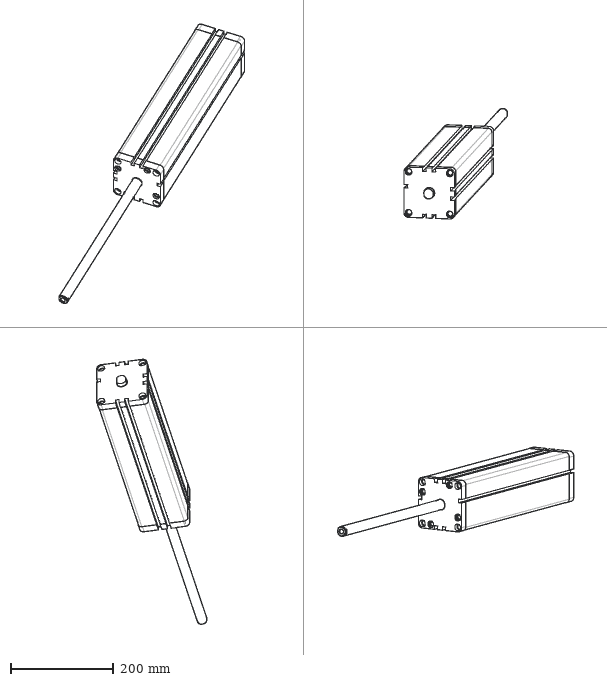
import cadquery as cq
import math

total_length = 772.0
rear_stub_length = 8.0
front_rod_length = 357.5
rod_tip_y = -total_length
body_rear_y = -rear_stub_length
body_front_y = rod_tip_y + front_rod_length
body_length = body_rear_y - body_front_y

width = 100.0
cap_length = 16.0
cap_corner_radius = 9.0
barrel_inset = 1.0
barrel_width = width - 2 * barrel_inset
barrel_length = body_length - 2 * cap_length
barrel_corner_radius = 7.0

groove_width = 7.0
groove_depth = 7.3
groove_offset = 9.0
single_groove_offset = 11.5

bolt_spacing = 82.0
bolt_diameter = 9.0
bolt_head_diameter = 13.0
bolt_head_depth = 8.0

screw_offset = 22.0
screw_edge_offset = bolt_spacing / 2
screw_pocket_diameter = 13.0
screw_pocket_depth = 4.0
screw_bore_diameter = 8.5
screw_bore_depth = 8.0

rod_diameter = 20.0
rod_seal_diameter = 22.0
rod_seal_depth = 2.0
rod_tip_chamfer = 1.5
flat_spacing = 18.0
flat_length = 5.5
thread_diameter = 8.5
thread_chamfer = 1.0
thread_depth = 19.0
drill_point_angle = 118.0


def square_bar(side, front_y, length, corner_radius):
    """Rounded square bar running toward +Y from front_y."""
    bar = cq.Workplane("XZ", origin=(0, front_y, 0)).rect(side, side).extrude(-length)
    return bar.edges("|Y").fillet(corner_radius)


def cylinder(diameter, front_y, length, x=0, z=0):
    """Cylinder running toward +Y from front_y."""
    return cq.Workplane("XZ", origin=(x, front_y, z)).circle(diameter / 2).extrude(-length)


def end_recess(diameter, depth, x=0, z=0):
    """Matching cutters for a round recess in both end faces of the body."""
    front = cylinder(diameter, body_front_y, depth, x, z)
    return front.union(cylinder(diameter, body_rear_y - depth, depth, x, z))


def make_body():
    body = square_bar(width, body_front_y, cap_length, cap_corner_radius)
    barrel_front_y = body_front_y + cap_length
    body = body.union(square_bar(barrel_width, barrel_front_y, barrel_length, barrel_corner_radius))
    return body.union(square_bar(width, body_rear_y - cap_length, cap_length, cap_corner_radius))


def cut_grooves(body):
    side_grooves = {
        0: (-groove_offset, groove_offset),
        90: (-single_groove_offset,),
        180: (-groove_offset, groove_offset),
        270: (-groove_offset, groove_offset),
    }
    for angle, offsets in side_grooves.items():
        for offset in offsets:
            groove = cq.Workplane("XY").box(groove_width, body_length, 2 * groove_depth)
            groove = groove.translate((offset, (body_front_y + body_rear_y) / 2, width / 2))
            body = body.cut(groove.rotate((0, 0, 0), (0, 1, 0), angle))
    return body


def cut_bolt_holes(body):
    for x in (-bolt_spacing / 2, bolt_spacing / 2):
        for z in (-bolt_spacing / 2, bolt_spacing / 2):
            body = body.cut(cylinder(bolt_diameter, body_front_y, body_length, x, z))
            body = body.cut(end_recess(bolt_head_diameter, bolt_head_depth, x, z))
    return body


def cut_cushion_screws(body):
    positions = (
        (-screw_edge_offset, screw_offset),
        (screw_offset, screw_edge_offset),
        (screw_edge_offset, -screw_offset),
        (-screw_offset, -screw_edge_offset),
    )
    for x, z in positions:
        body = body.cut(cylinder(screw_pocket_diameter, body_front_y, screw_pocket_depth, x, z))
        body = body.cut(cylinder(screw_bore_diameter, body_front_y, screw_bore_depth, x, z))
    return body


def threaded_hole():
    """Cutter for the rod end hole: chamfered mouth, straight bore and drill point."""
    radius = thread_diameter / 2
    point = radius / math.tan(math.radians(drill_point_angle / 2))
    mouth_y = rod_tip_y
    floor_y = mouth_y + thread_depth
    profile = (
        cq.Workplane("XY")
        .moveTo(0, mouth_y)
        .lineTo(radius + thread_chamfer, mouth_y)
        .lineTo(radius, mouth_y + thread_chamfer)
        .lineTo(radius, floor_y)
        .lineTo(0, floor_y + point)
        .close()
    )
    return profile.revolve(360, (0, 0, 0), (0, 1, 0))


def make_rod():
    rod = cylinder(rod_diameter, rod_tip_y, total_length)
    rod = rod.faces("<Y").edges().chamfer(rod_tip_chamfer)
    for end_y in (rod_tip_y + flat_length / 2, -flat_length / 2):
        for side in (-1, 1):
            flat = cq.Workplane("XY").box(rod_diameter, flat_length, rod_diameter)
            rod = rod.cut(flat.translate((side * (flat_spacing + rod_diameter) / 2, end_y, 0)))
    return rod.cut(threaded_hole())


body = cut_grooves(make_body())
body = cut_bolt_holes(body)
body = cut_cushion_screws(body)
body = body.cut(end_recess(rod_seal_diameter, rod_seal_depth))
result = body.union(make_rod())